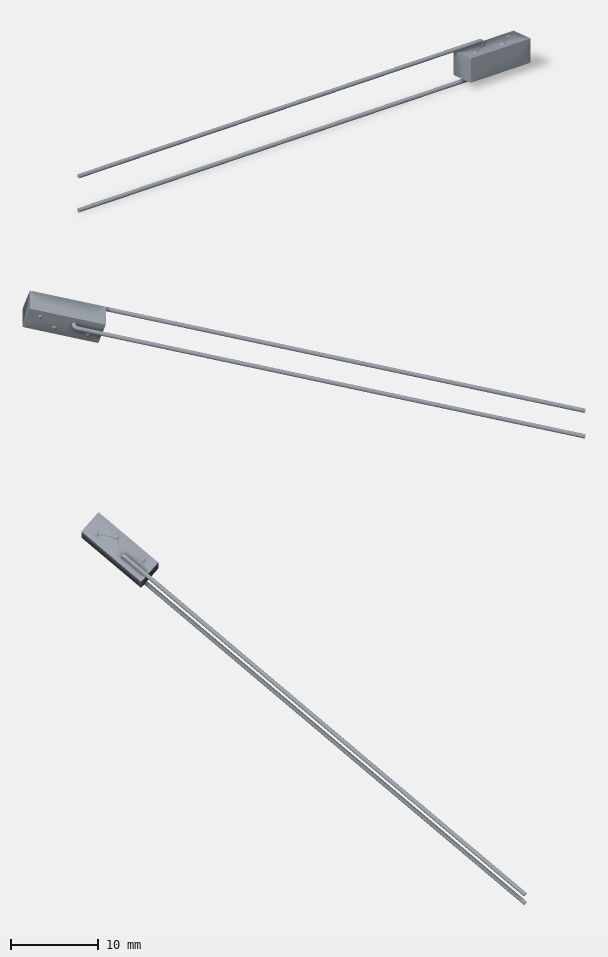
import cadquery as cq

stack_width = 3.0
chip_count = 4
chip_length = 2.0
plate_thickness = 0.5
surface_height = stack_width / 2

overall_length = 66.1
overall_height = 4.72
lead_diameter = 0.5
lead_height = (overall_height - lead_diameter) / 2
lead_bend_radius = 0.45

dot_radius = 0.3
dot_height = 0.15
link_diameter = 0.1

stack_back = overall_length / 2
lead_front = -overall_length / 2

contact_offset = 0.6
contact_sides = [-1, 1, -1, 1]
lead_chip = 2


def chip_centre(index):
    """Y of the middle of a chip, counted from the back end of the stack."""
    return stack_back - plate_thickness - (index + 0.5) * chip_length


contacts = [(side * contact_offset, chip_centre(i)) for i, side in enumerate(contact_sides)]
lead_contact = contacts[lead_chip]
dot_contacts = [contact for contact in contacts if contact != lead_contact]


def make_dot(x, y, side):
    """Sphere sunk into the face so that only a low dome stands proud."""
    sphere_radius = (dot_radius**2 + dot_height**2) / (2 * dot_height)
    centre_height = surface_height + dot_height - sphere_radius
    sphere = cq.Workplane("XY").sphere(sphere_radius).rotate((0, 0, 0), (0, 1, 0), -90 * side)
    return sphere.translate((x, y, side * centre_height))


def make_stack():
    """Plates, chips and dots as one solid; its faces stay split at each layer joint."""
    stack = cq.Workplane("XY")
    layer_back = stack_back
    for length in [plate_thickness, *[chip_length] * chip_count, plate_thickness]:
        layer = cq.Workplane("XY").box(stack_width, length, stack_width)
        stack = stack.union(layer.translate((0, layer_back - length / 2, 0)), clean=False)
        layer_back -= length
    for side in (1, -1):
        for x, y in dot_contacts:
            stack = stack.union(make_dot(x, y, side), clean=False)
    return stack


def make_lead(side):
    """Lead on the top (side = 1) or bottom (side = -1) face."""
    x, y = lead_contact
    path = (
        cq.Workplane("YZ", origin=(x, 0, 0))
        .moveTo(y, side * surface_height)
        .lineTo(y, side * (lead_height - lead_bend_radius))
        .tangentArcPoint((y - lead_bend_radius, side * lead_height), relative=False)
        .lineTo(lead_front, side * lead_height)
    )
    foot = cq.Workplane("XY", origin=(x, y, side * surface_height))
    foot = foot.transformed(rotate=(0, 0, 180)).circle(lead_diameter / 2)
    return foot.sweep(path)


def make_link_wire():
    """Thin wire zigzagging between the contacts, half sunk into the top face."""
    points = [cq.Vector(x, y, surface_height) for x, y in contacts]
    path = cq.Workplane("XY").polyline([point.toTuple() for point in points])
    start_plane = cq.Plane(origin=points[0], normal=points[1] - points[0])
    return cq.Workplane(start_plane).circle(link_diameter / 2).sweep(path, transition="round")


link_wire = make_link_wire()
stack = make_stack().cut(link_wire, clean=False)
top_lead = make_lead(1).cut(link_wire)
bottom_lead = make_lead(-1)

result = cq.Compound.makeCompound([stack.val(), top_lead.val(), bottom_lead.val(), link_wire.val()])